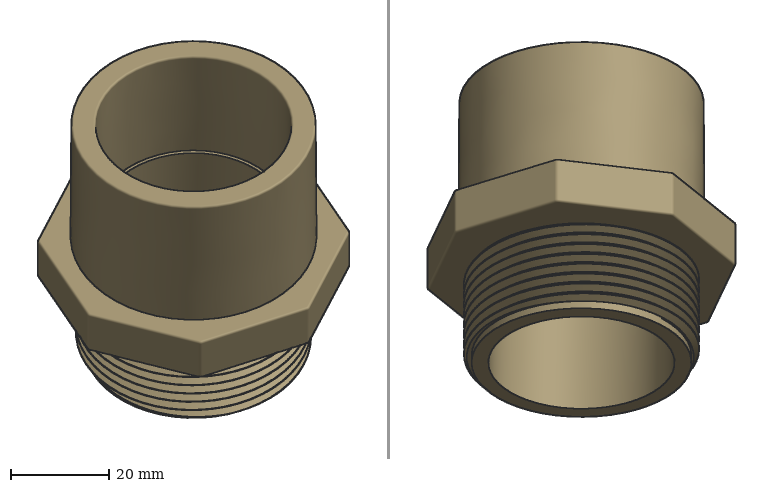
import cadquery as cq
import math


total_height = 61.3
collar_bottom = 20.0
collar_height = 10.0
collar_top = collar_bottom + collar_height

collar_sides = 8
collar_across_flats = 59.0
collar_corner_radius = 1.0
edge_radius = 0.5

barrel_base_diameter = 50.25
barrel_rim_diameter = 49.95

bore_diameter = 38.0
socket_depth = 26.0
socket_seat_diameter = 39.6
socket_mouth_diameter = 39.95

thread_root_diameter = 44.9
thread_crest_diameter = 48.05
pitches_in_span = 7
pitch_span = 16.2
thread_pitch = pitch_span / pitches_in_span
thread_base_width = 2.15
thread_crest_width = 0.2
thread_bottom = 1.65
first_crest_height = 1.6
thread_overlap = 0.1


def tapered_cylinder(bottom_z, bottom_diameter, top_z, top_diameter):
    outline = [
        (0, bottom_z),
        (bottom_diameter / 2, bottom_z),
        (top_diameter / 2, top_z),
        (0, top_z),
    ]
    return cq.Workplane("XZ").polyline(outline).close().revolve(360, (0, 0, 0), (0, 1, 0))


def cylinder(bottom_z, top_z, diameter):
    return cq.Workplane("XY").workplane(offset=bottom_z).circle(diameter / 2).extrude(top_z - bottom_z)


def make_collar():
    """Octagonal prism with flats facing X and Y and every edge rounded."""
    half_side_angle = 180 / collar_sides
    across_corners = collar_across_flats / math.cos(math.radians(half_side_angle))
    collar = (
        cq.Workplane("XY")
        .workplane(offset=collar_bottom)
        .transformed(rotate=(0, 0, half_side_angle))
        .polygon(collar_sides, across_corners)
        .extrude(collar_height)
    )
    collar = collar.edges("|Z").fillet(collar_corner_radius)
    return collar.faces("<Z or >Z").edges().fillet(edge_radius)


def make_barrel():
    """Tapered barrel standing on the collar, with a rounded outer rim."""
    barrel = tapered_cylinder(collar_top, barrel_base_diameter, total_height, barrel_rim_diameter)
    return barrel.faces(">Z").edges().fillet(edge_radius)


def make_thread():
    """Helical ridge, cut off flat at its lower end and inside the collar at its upper end."""
    ridge_start = first_crest_height - thread_pitch
    ridge_end = collar_bottom + thread_pitch
    clip_top = collar_bottom + edge_radius
    inner = thread_root_diameter / 2 - thread_overlap
    crest = thread_crest_diameter / 2

    helix = cq.Wire.makeHelix(thread_pitch, ridge_end - ridge_start, inner)
    ridge = (
        cq.Workplane("XZ")
        .polyline([
            (inner, -thread_base_width / 2),
            (crest, -thread_crest_width / 2),
            (crest, thread_crest_width / 2),
            (inner, thread_base_width / 2),
        ])
        .close()
        .sweep(cq.Workplane(obj=helix), isFrenet=True)
        .translate((0, 0, ridge_start))
    )
    keep_zone = cylinder(thread_bottom, clip_top, thread_crest_diameter + thread_pitch)
    return ridge.intersect(keep_zone)


def make_bore():
    """Through bore with a tapered pipe socket above an annular seat."""
    seat_z = total_height - socket_depth
    socket = tapered_cylinder(seat_z, socket_seat_diameter, total_height, socket_mouth_diameter)
    return cylinder(0, total_height, bore_diameter).union(socket)


core = cylinder(0, collar_top, thread_root_diameter)
body = core.union(make_collar()).union(make_barrel()).cut(make_bore())
socket_mouth_edge = cq.selectors.RadiusNthSelector(0)
body = body.faces(">Z").edges(socket_mouth_edge).fillet(edge_radius)
result = body.union(make_thread())